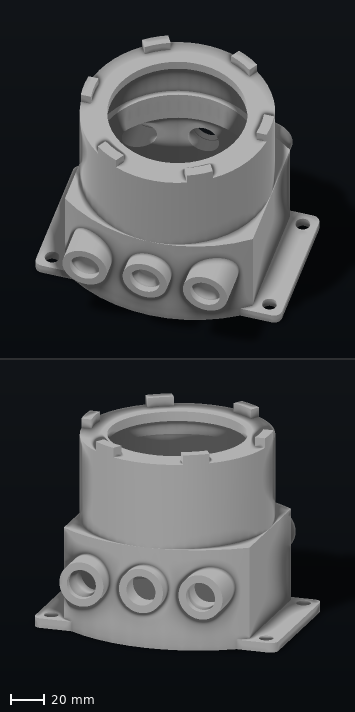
import cadquery as cq

overall_length = 155.0
overall_width = 137.0
overall_height = 123.5

plate_width = 87.4
plate_thickness = 6.0
plate_corner_radius = 5.0
mount_hole_diameter = 9.0
mount_hole_spacing_x = 137.0
mount_hole_spacing_y = 70.0

body_length = 118.4
body_width = body_length
body_side_width = 78.1
body_height = 63.9
wall = 4.0
cavity_length = body_length - 2 * wall
cavity_width = body_width - 2 * wall
cavity_side_width = body_side_width - wall
cavity_floor = plate_thickness
cavity_ceiling = body_height - wall

hub_diameter = 28.0
hub_mouth_diameter = 18.5
hub_mouth_depth = 4.2
hub_bore_diameter = 19.5
hub_pitch = 38.0
hub_axis_height = 39.2
hub_count = 3

neck_outer_radius = 54.5
neck_inner_radius = 51.2
neck_top = 79.8

cover_radius = 59.0
cover_rim_thickness = 6.0
window_radius = 42.5
relief_radius = 52.7
relief_bottom = 99.8
tab_count = 6
tab_height = 6.0
tab_width = 16.1
tab_inner_radius = 52.7
cover_top = overall_height - tab_height


def cylinder(radius, bottom, top):
    """Upright cylinder about the Z axis."""
    return cq.Workplane("XY", origin=(0, 0, bottom)).circle(radius).extrude(top - bottom)


def bulged_block(length, side_width, width, bottom, top):
    """Block with two flat X sides and two Y sides that bulge out as arcs."""
    half_length = length / 2
    half_side = side_width / 2
    half_width = width / 2
    return (
        cq.Workplane("XY", origin=(0, 0, bottom))
        .moveTo(-half_length, -half_side)
        .threePointArc((0, -half_width), (half_length, -half_side))
        .lineTo(half_length, half_side)
        .threePointArc((0, half_width), (-half_length, half_side))
        .close()
        .extrude(top - bottom)
    )


def hub_row(diameter, length):
    """Row of cylinders along Y on the hub axes, centred on the XZ plane."""
    return (
        cq.Workplane("XZ", origin=(0, 0, hub_axis_height))
        .rarray(hub_pitch, 1.5, hub_count, 1)
        .circle(diameter / 2)
        .extrude(length / 2, both=True)
    )


def make_plate():
    """Mounting plate with rounded corners and four holes."""
    return (
        cq.Workplane("XY")
        .rect(overall_length, plate_width)
        .extrude(plate_thickness)
        .edges("|Z")
        .fillet(plate_corner_radius)
        .faces(">Z")
        .workplane()
        .rect(mount_hole_spacing_x, mount_hole_spacing_y, forConstruction=True)
        .vertices()
        .hole(mount_hole_diameter)
    )


def make_housing():
    """Hollow housing with its plate, hubs and open neck."""
    outside = (
        bulged_block(body_length, body_side_width, body_width, 0, body_height)
        .union(make_plate())
        .union(hub_row(hub_diameter, overall_width))
        .union(cylinder(neck_outer_radius, body_height, neck_top))
    )
    cavity = bulged_block(cavity_length, cavity_side_width, cavity_width, cavity_floor, cavity_ceiling)
    neck_bore = cylinder(neck_inner_radius, cavity_ceiling, neck_top)
    hub_mouths = hub_row(hub_mouth_diameter, overall_width)
    hub_bores = hub_row(hub_bore_diameter, overall_width - 2 * hub_mouth_depth)
    return outside.cut(cavity).cut(neck_bore).cut(hub_mouths).cut(hub_bores)


def make_tabs():
    """Ring of raised wrench tabs on top of the cover."""
    ring = cylinder(cover_radius, cover_top, overall_height).cut(
        cylinder(tab_inner_radius, cover_top, overall_height)
    )
    bars = cq.Workplane("XY")
    for index in range(tab_count // 2):
        bar = (
            cq.Workplane("XY", origin=(0, 0, cover_top))
            .transformed(rotate=(0, 0, index * 360 / tab_count))
            .rect(2 * overall_length, tab_width)
            .extrude(tab_height)
        )
        bars = bars.add(bar)
    return bars.combine().intersect(ring)


def make_cover():
    """Open ring cover that sits on the body and takes the neck in its bore."""
    return (
        cylinder(cover_radius, body_height, cover_top)
        .union(make_tabs())
        .cut(cylinder(neck_outer_radius, body_height, relief_bottom))
        .cut(cylinder(relief_radius, relief_bottom, cover_top - cover_rim_thickness))
        .cut(cylinder(window_radius, cover_top - cover_rim_thickness, cover_top))
    )


housing = make_housing()
cover = make_cover()

result = cq.Compound.makeCompound([housing.solids().val(), cover.solids().val()])